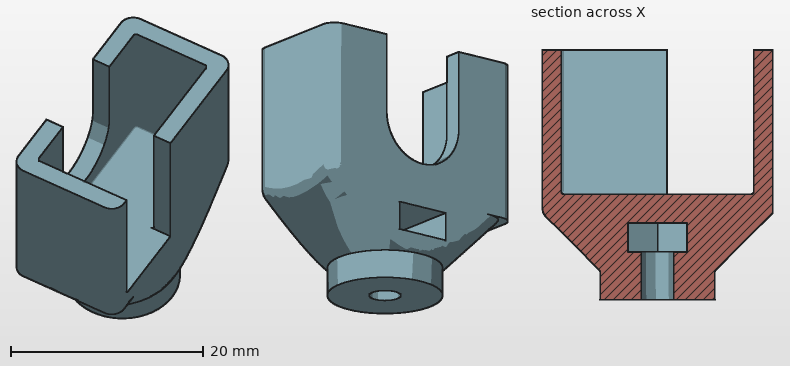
import cadquery as cq
import math

width = 12.75
length = 24.0
height = 26.0
half_width = width / 2
half_length = length / 2
wall = 2.0
outer_radius = 1.5

stem_radius = 6.0
stem_height = 3.0
flare_top = stem_height + half_length - stem_radius

floor_z = 11.0
cavity_radius = 0.3
opening_end_y = -1.0

slot_width = 9.5
slot_bottom_z = 12.75

nut_width = 6.1
nut_bottom_z = 5.0
nut_height = 3.0
bolt_diameter = 3.3


def block(x_range, y_range, z_range):
    """Box given by its limits along each axis."""
    size = [high - low for low, high in (x_range, y_range, z_range)]
    corner = (x_range[0], y_range[0], z_range[0])
    return cq.Workplane("XY").box(*size, centered=False).translate(corner)


def stem():
    return cq.Workplane("XY").circle(stem_radius).extrude(stem_height)


def flared_blank():
    """Block trimmed by the cone, with the edges of its sides and +Y end rounded.

    It runs past the -Y end and below the stem top, so that the roundings are even up to both.
    """
    cone_tip_z = stem_height - stem_radius
    cone_profile = [(0, cone_tip_z), (cone_tip_z - height, height), (0, height)]
    cone = cq.Workplane("YZ").polyline(cone_profile).close().revolve(360, (0, 0, 0), (0, 1, 0))
    blank = block((-half_width, half_width), (-length, half_length), (cone_tip_z, height))
    blank = blank.intersect(cone)
    side_edges = blank.edges("%HYPERBOLA").edges("<X or >X")
    end_edges = blank.faces(">Y").edges("not >Z")
    blank = blank.newObject(side_edges.vals() + end_edges.vals()).fillet(outer_radius)
    return blank.intersect(block((-width, width), (-length, length), (stem_height, height)))


def outer_body():
    """Flared blank, squared off into a plain prism above the flare on the -Y half."""
    blank = flared_blank()
    flare = blank.intersect(block((-width, width), (-half_length, length), (0, flare_top)))
    back = blank.intersect(block((-width, width), (0, length), (0, height)))
    prism = cq.Workplane("XY").workplane(offset=flare_top).rect(width, length)
    prism = prism.extrude(height - flare_top).edges("|Z").fillet(outer_radius)
    front = prism.intersect(block((-width, width), (-length, 0), (0, height)))
    return stem().union(flare).union(back).union(front)


def cavity():
    """Open-topped pocket that also breaks out through the +X wall near the -Y end."""
    inner_x = half_width - wall
    inner_y = half_length - wall
    pocket = block((-inner_x, inner_x), (-inner_y, inner_y), (floor_z, height + wall))
    pocket = pocket.edges("|Z or <Z").fillet(cavity_radius)
    opening = block((0, width), (-inner_y, opening_end_y), (floor_z, height + wall))
    opening = opening.faces("<Y").edges("<Z").fillet(cavity_radius)
    return pocket.union(opening)


def slot():
    radius = slot_width / 2
    centre_z = slot_bottom_z + radius
    profile = (
        cq.Workplane("YZ")
        .moveTo(-radius, height)
        .lineTo(-radius, centre_z)
        .threePointArc((0, slot_bottom_z), (radius, centre_z))
        .lineTo(radius, height)
        .close()
    )
    return profile.extrude(-width)


def nut_pocket():
    across_corners = nut_width / math.cos(math.pi / 6)
    plane = cq.Workplane("XY").workplane(offset=nut_bottom_z)
    nut = plane.polygon(6, across_corners).extrude(nut_height)
    nut_top_z = nut_bottom_z + nut_height
    entry = block((-width, 0), (-nut_width / 2, nut_width / 2), (nut_bottom_z, nut_top_z))
    return nut.union(entry)


def bolt_hole():
    return cq.Workplane("XY").circle(bolt_diameter / 2).extrude(nut_bottom_z)


result = outer_body().cut(cavity()).cut(slot()).cut(nut_pocket()).cut(bolt_hole())